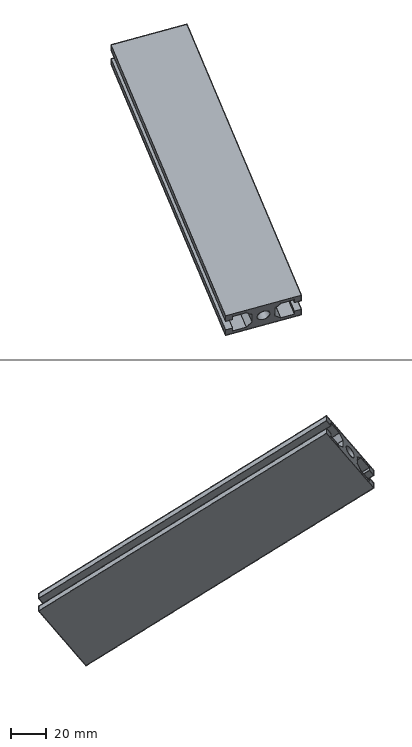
import cadquery as cq

length = 200.0
width = 45.0
height = 18.5

skin_thickness = 2.5
lip_depth = 4.2
slot_opening = 8.0
web_thickness = 13.5
corner_chamfer = 3.5
bore_diameter = 7.5

half_width = width / 2
half_opening = slot_opening / 2
half_cavity = height / 2 - skin_thickness
half_web = web_thickness / 2
cavity_mouth = half_width - lip_depth


def side_slot(side):
    """T-slot cut along the full length; side is +1 or -1 along Y."""
    upper = [
        (half_width, half_opening),
        (cavity_mouth, half_opening),
        (cavity_mouth, half_cavity),
        (half_web + corner_chamfer, half_cavity),
        (half_web, half_cavity - corner_chamfer),
    ]
    lower = [(y, -z) for y, z in reversed(upper)]
    outline = [(side * y, z) for y, z in upper + lower]
    return (
        cq.Workplane("YZ")
        .polyline(outline)
        .close()
        .extrude(length / 2, both=True)
    )


def center_bore():
    """Round hole through the web from end to end."""
    return cq.Workplane("YZ").circle(bore_diameter / 2).extrude(length / 2, both=True)


result = cq.Workplane("XY").box(length, width, height)
for side in (-1, 1):
    result = result.cut(side_slot(side))
result = result.cut(center_bore())